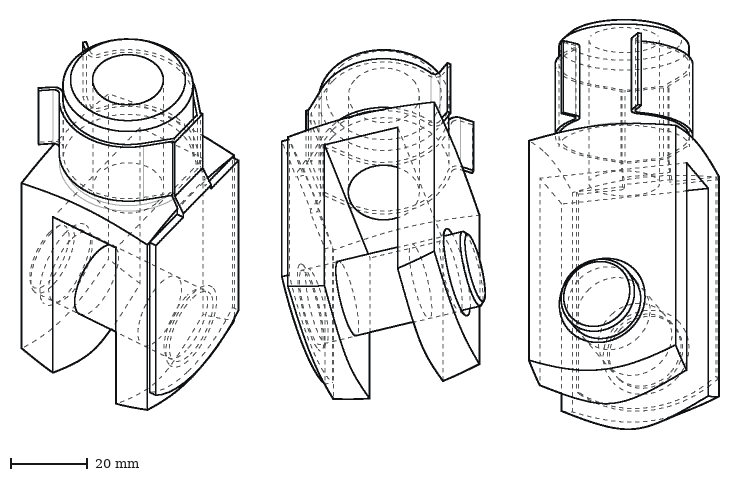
import cadquery as cq
import math

TOTAL_HEIGHT = 105.0
SIDE = 40.0
HALF_SIDE = SIDE / 2
SLOT_WIDTH = SIDE / 2
SLOT_TOP = 65.0
TIP_CONE_ANGLE = 30.0
SHOULDER_HEIGHT = 74.5
SHOULDER_ANGLE = 15.0
COLLAR_RADIUS = 17.0
COLLAR_CHAMFER = 2.0
COLLAR_ROOT_FILLET = 1.0
BORE_RADIUS = 9.2

PIN_RADIUS = SIDE / 4
PIN_HEIGHT = 25.1
PIN_LEFT = -25.0
PIN_CHAMFER = 1.0
COUNTERSINK = 1.7

SHEET = 1.0
BAND_BOTTOM = 78.1
BAND_HEIGHT = SIDE / 2
BAND_MID_RADIUS = COLLAR_RADIUS + SHEET / 2
BEND_RADIUS = 2.0
BEND_Y = 9.7
LIP_LENGTH = 3.8
LIP_ANGLE = 140.0
WALL_OUTER_X = 19.3
STRIP_HALF_WIDTH = 6.4
STRIP_BEND_TOP = 73.3
STRIP_INNER_FOOT = 74.5
PLATE_THICKNESS = 2.0
PLATE_WIDTH = 38.0
PLATE_TOP = 71.9
PLATE_BOTTOM = 9.6
PLATE_END_RADIUS = 30.0


def polar(radius, angle, center=(0, 0)):
    """Point at a radius and an angle in radians from a center."""
    return (center[0] + radius * math.cos(angle), center[1] + radius * math.sin(angle))


def x_cylinder(radius, start, end):
    """Cylinder along X on the pin axis."""
    return cq.Workplane("YZ", origin=(start, 0, PIN_HEIGHT)).circle(radius).extrude(end - start)


def make_fork():
    envelope_radius = SIDE
    tip_radius = SLOT_WIDTH / 2
    tip_rim_z = (envelope_radius - tip_radius) * math.tan(math.radians(TIP_CONE_ANGLE))
    root_radius = COLLAR_RADIUS + COLLAR_ROOT_FILLET
    shoulder_rim_z = SHOULDER_HEIGHT - (envelope_radius - root_radius) * math.tan(math.radians(SHOULDER_ANGLE))
    fillet_mid = polar(
        COLLAR_ROOT_FILLET,
        math.radians(225),
        (root_radius, SHOULDER_HEIGHT + COLLAR_ROOT_FILLET),
    )
    envelope = (
        cq.Workplane("XZ")
        .lineTo(tip_radius, 0)
        .lineTo(envelope_radius, tip_rim_z)
        .lineTo(envelope_radius, shoulder_rim_z)
        .lineTo(root_radius, SHOULDER_HEIGHT)
        .threePointArc(fillet_mid, (COLLAR_RADIUS, SHOULDER_HEIGHT + COLLAR_ROOT_FILLET))
        .lineTo(COLLAR_RADIUS, TOTAL_HEIGHT - COLLAR_CHAMFER)
        .lineTo(COLLAR_RADIUS - COLLAR_CHAMFER, TOTAL_HEIGHT)
        .lineTo(0, TOTAL_HEIGHT)
        .close()
        .revolve(360, (0, 0, 0), (0, 1, 0))
    )
    bar = cq.Workplane("XY").rect(SIDE, SIDE).extrude(TOTAL_HEIGHT)
    fork = bar.intersect(envelope)

    slot = cq.Workplane("XY").rect(SLOT_WIDTH, 2 * SIDE).extrude(SLOT_TOP)
    bore = cq.Workplane("XY").workplane(offset=SLOT_TOP).circle(BORE_RADIUS).extrude(TOTAL_HEIGHT)
    fork = fork.cut(slot).cut(bore)

    fork = fork.cut(x_cylinder(PIN_RADIUS, -HALF_SIDE, HALF_SIDE))
    for side in (-1, 1):
        countersink = cq.Solid.makeCone(
            PIN_RADIUS + COUNTERSINK,
            PIN_RADIUS,
            COUNTERSINK,
            cq.Vector(side * HALF_SIDE, 0, PIN_HEIGHT),
            cq.Vector(-side, 0, 0),
        )
        fork = fork.cut(cq.Workplane(countersink))
    return fork


def make_pin():
    return x_cylinder(PIN_RADIUS, PIN_LEFT, HALF_SIDE).faces("<X").chamfer(PIN_CHAMFER)


def make_half_band():
    """The +Y half of the band: straight run, wrap, outward bend and lip."""
    half = SHEET / 2
    inner = BAND_MID_RADIUS - half
    outer = BAND_MID_RADIUS + half

    run_end = (WALL_OUTER_X - half, STRIP_HALF_WIDTH - SHEET)
    wrap_start = math.atan2(run_end[1], run_end[0]) + math.acos(BAND_MID_RADIUS / math.hypot(*run_end))

    bend_distance = BAND_MID_RADIUS + BEND_RADIUS
    bend_center = (-math.sqrt(bend_distance**2 - BEND_Y**2), BEND_Y)
    wrap_end = math.atan2(bend_center[1], bend_center[0])
    wrap_mid = (wrap_start + wrap_end) / 2
    lip = math.radians(LIP_ANGLE)
    bend_start = wrap_end + math.pi
    bend_end = lip + math.pi / 2
    bend_mid = (bend_start + bend_end) / 2
    bend_small = BEND_RADIUS - half
    bend_large = BEND_RADIUS + half
    lip_small = polar(bend_small, bend_end, bend_center)
    lip_large = polar(bend_large, bend_end, bend_center)

    return (
        cq.Workplane("XY")
        .workplane(offset=BAND_BOTTOM)
        .moveTo(*polar(half, wrap_start, run_end))
        .lineTo(*polar(outer, wrap_start))
        .threePointArc(polar(outer, wrap_mid), polar(outer, wrap_end))
        .threePointArc(polar(bend_small, bend_mid, bend_center), lip_small)
        .lineTo(*polar(LIP_LENGTH, lip, lip_small))
        .lineTo(*polar(LIP_LENGTH, lip, lip_large))
        .lineTo(*lip_large)
        .threePointArc(polar(bend_large, bend_mid, bend_center), polar(inner, wrap_end))
        .threePointArc(polar(inner, wrap_mid), polar(inner, wrap_start))
        .lineTo(*polar(-half, wrap_start, run_end))
        .close()
        .extrude(BAND_HEIGHT)
    )


def make_clip():
    plate_outer_x = HALF_SIDE + PLATE_THICKNESS
    wall_inner_x = WALL_OUTER_X - SHEET

    strip = (
        cq.Workplane("XZ")
        .moveTo(HALF_SIDE, PLATE_TOP)
        .lineTo(plate_outer_x, PLATE_TOP)
        .lineTo(plate_outer_x, STRIP_BEND_TOP)
        .lineTo(WALL_OUTER_X, BAND_BOTTOM)
        .lineTo(WALL_OUTER_X, BAND_BOTTOM + BAND_HEIGHT)
        .lineTo(wall_inner_x, BAND_BOTTOM + BAND_HEIGHT)
        .lineTo(wall_inner_x, BAND_BOTTOM)
        .lineTo(HALF_SIDE, STRIP_INNER_FOOT)
        .close()
        .extrude(STRIP_HALF_WIDTH, both=True)
    )

    half_width = PLATE_WIDTH / 2
    arch_rise = PLATE_END_RADIUS - math.sqrt(PLATE_END_RADIUS**2 - half_width**2)
    arch_ends = PLATE_BOTTOM + arch_rise
    plate = (
        cq.Workplane("YZ", origin=(HALF_SIDE, 0, 0))
        .moveTo(-half_width, PLATE_TOP)
        .lineTo(-half_width, arch_ends)
        .threePointArc((0, PLATE_BOTTOM), (half_width, arch_ends))
        .lineTo(half_width, PLATE_TOP)
        .close()
        .extrude(PLATE_THICKNESS)
    )
    half_band = make_half_band()
    return strip.union(plate).union(half_band).union(half_band.mirror("XZ"))


fork = make_fork()
pin = make_pin()
clip = make_clip()

result = cq.Compound.makeCompound([fork.solids().val(), pin.solids().val(), clip.solids().val()])